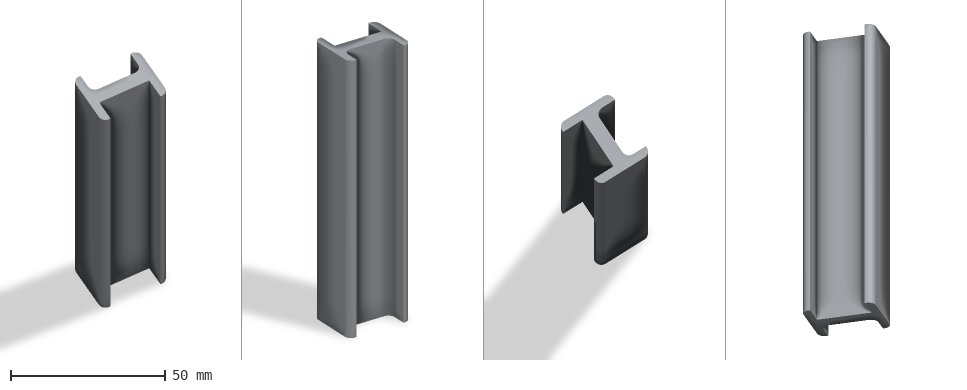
import cadquery as cq

length = 100.0
flange_width = 20.0
section_height = 24.5
flange_thickness = 3.0
web_thickness = 5.0
corner_radius = 2.5
root_radius = 2.5

web_height = section_height - 2 * flange_thickness
recess_depth = (flange_width - web_thickness) / 2
recess_center_x = (web_thickness + recess_depth) / 2

bar = (
    cq.Workplane("XY")
    .box(flange_width, section_height, length)
    .edges("|Z")
    .fillet(corner_radius)
)

plain_recess = cq.Workplane("XY").box(recess_depth, web_height, length).translate((recess_center_x, 0, 0))

rounded_recess = (
    cq.Workplane("XY")
    .box(recess_depth, web_height, length)
    .edges("|Z and >X")
    .fillet(root_radius)
    .translate((-recess_center_x, 0, 0))
)

result = bar.cut(plain_recess).cut(rounded_recess)